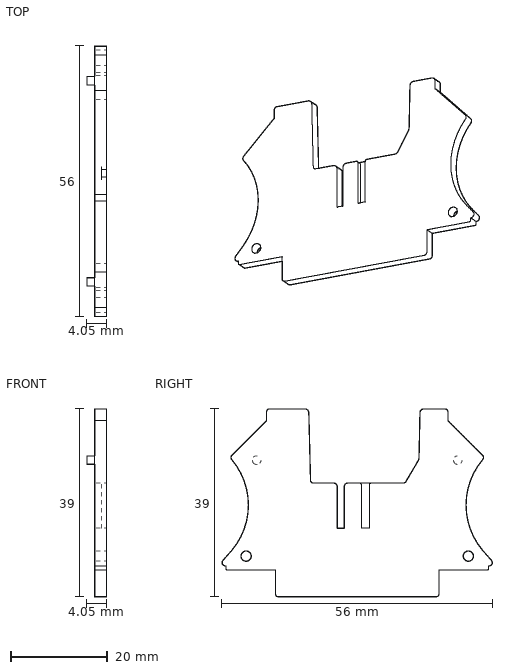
import cadquery as cq
import math

width = 56.0
height = 39.0
plate_thickness = 2.45
peg_length = 1.6
peg_diameter = 1.8
peg_y = 20.85
peg_z = 28.35
hole_diameter = 2.1
hole_y = 23.0
hole_z = 8.45

foot_half_width = 16.95
foot_height = 5.55
lower_tip_radius = 0.7
lower_tip_bottom_z = 6.4
step_half_width = 27.2
step_radius = 0.35

waist_half_width = 22.55
waist_z = 19.05
waist_radius = 14.55
waist_bottom_z = 9.65

tower_half_width = 18.8
shoulder_z = 36.5
gap_floor_z = 23.65
left_wall_top_y = 13.0
left_wall_bottom_y = 12.75
left_wall_bottom_z = 28.5
left_floor_y = 9.9
right_wall_top_y = -10.0
right_wall_bottom_y = -9.65

slot_y = -3.4
slot_width = 1.4
slot_floor_z = 14.3
groove_y = 1.7
groove_width = 1.6
groove_depth = 1.0
groove_mouth_radius = 0.5

outer_radius = 0.7
inner_tower_radius = 0.85
slot_mouth_radius = 0.85
gap_corner_radius = 0.5
gap_bend_radius = 1.4

waist_center_y = waist_half_width + waist_radius
lower_tip_center_y = width / 2 - lower_tip_radius
lower_tip_center_z = lower_tip_bottom_z + lower_tip_radius


def mirrored(point):
    return -point[0], point[1]


edge_offset = tower_half_width + shoulder_z - waist_center_y - waist_z
tip_rise = (edge_offset + math.sqrt(2 * waist_radius**2 - edge_offset**2)) / 2
upper_tip = (waist_center_y + edge_offset - tip_rise, waist_z + tip_rise)

waist_drop = waist_z - waist_bottom_z
lower_arc_end = (waist_center_y - math.sqrt(waist_radius**2 - waist_drop**2), waist_bottom_z)
waist_point = (waist_half_width, waist_z)
diagonal = lower_tip_radius / math.sqrt(2)
lower_tip_start = (lower_tip_center_y + diagonal, lower_tip_center_z + diagonal)
lower_tip_side = (width / 2, lower_tip_center_z)
lower_tip_end = (lower_tip_center_y, lower_tip_bottom_z)
step_top = (step_half_width, lower_tip_bottom_z)
step_bottom = (step_half_width, foot_height)
foot_top = (foot_half_width, foot_height)
foot_bottom = (foot_half_width, 0)
shoulder = (tower_half_width, shoulder_z)
tower_top = (tower_half_width, height)
left_inner_top = (left_wall_top_y, height)
left_bend = (left_wall_bottom_y, left_wall_bottom_z)
left_floor = (left_floor_y, gap_floor_z)
right_floor = (right_wall_bottom_y, gap_floor_z)
right_inner_top = (right_wall_top_y, height)


def round_corners(body, points, radius):
    """Round the edges parallel to X that pass through the given (Y, Z) points."""
    x_middle = plate_thickness / 2
    for y, z in points:
        edge = body.edges("|X").edges(cq.NearestToPointSelector((x_middle, y, z)))
        body = edge.fillet(radius)
    return body


def both_sides(point):
    return [point, mirrored(point)]


def make_plate():
    outline = cq.Workplane("YZ").moveTo(*left_inner_top).lineTo(*tower_top).lineTo(*shoulder)
    outline = outline.lineTo(*upper_tip).threePointArc(waist_point, lower_arc_end)
    outline = outline.lineTo(*lower_tip_start).threePointArc(lower_tip_side, lower_tip_end)
    for point in (step_top, step_bottom, foot_top, foot_bottom):
        outline = outline.lineTo(*point)
    for point in (foot_bottom, foot_top, step_bottom, step_top, lower_tip_end):
        outline = outline.lineTo(*mirrored(point))
    outline = outline.threePointArc(mirrored(lower_tip_side), mirrored(lower_tip_start))
    outline = outline.lineTo(*mirrored(lower_arc_end))
    outline = outline.threePointArc(mirrored(waist_point), mirrored(upper_tip))
    for point in (shoulder, tower_top):
        outline = outline.lineTo(*mirrored(point))
    for point in (right_inner_top, right_floor, left_floor, left_bend):
        outline = outline.lineTo(*point)
    plate = outline.close().extrude(plate_thickness)

    for point in (upper_tip, tower_top, foot_bottom):
        plate = round_corners(plate, both_sides(point), outer_radius)
    plate = round_corners(plate, both_sides(step_bottom), step_radius)
    plate = round_corners(plate, [left_inner_top, right_inner_top], inner_tower_radius)
    plate = round_corners(plate, [left_floor, right_floor], gap_corner_radius)
    return round_corners(plate, [left_bend], gap_bend_radius)


def cut_channel(body, center_y, channel_width, depth, mouth_radius):
    """Cut a channel from the gap floor down to the slot floor, inward from the +X face."""
    channel_height = gap_floor_z - slot_floor_z
    channel = cq.Workplane("XY").box(depth, channel_width, channel_height, centered=(False, True, False))
    body = body.cut(channel.translate((plate_thickness - depth, center_y, slot_floor_z)))
    mouth_x = plate_thickness - depth / 2
    for side in (-1, 1):
        mouth = (mouth_x, center_y + side * channel_width / 2, gap_floor_z)
        body = body.edges("|X").edges(cq.NearestToPointSelector(mouth)).fillet(mouth_radius)
    return body


def side_cylinders(diameter, start_x, length, y, z):
    """A mirrored pair of cylinders along X."""
    plane = cq.Workplane("YZ", origin=(start_x, 0, 0))
    return plane.pushPoints([(y, z), (-y, z)]).circle(diameter / 2).extrude(length)


plate = make_plate()
plate = cut_channel(plate, slot_y, slot_width, plate_thickness, slot_mouth_radius)
plate = cut_channel(plate, groove_y, groove_width, groove_depth, groove_mouth_radius)
holes = side_cylinders(hole_diameter, 0, plate_thickness, hole_y, hole_z)
pegs = side_cylinders(peg_diameter, -peg_length, peg_length, peg_y, peg_z)
result = plate.cut(holes).union(pegs)